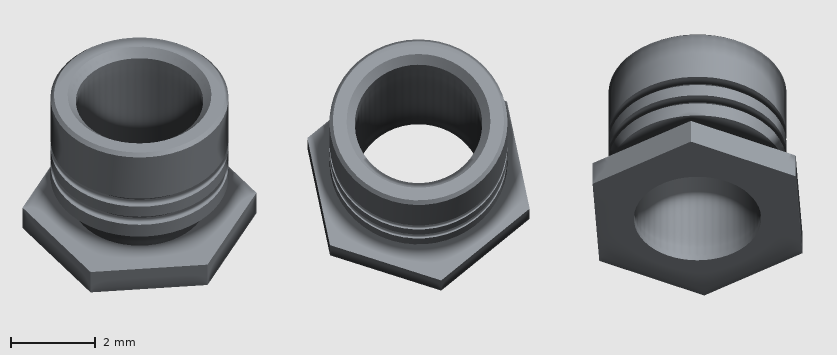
import cadquery as cq

hex_across_corners = 5.54
flange_height = 0.65

total_height = 4.0
neck_top = 1.395
lower_groove_bottom = 1.775
lower_groove_top = 2.03
upper_groove_bottom = 2.35
upper_groove_top = 2.605

neck_diameter = 3.185
groove_diameter = 3.69
body_diameter = 4.2
bore_diameter = 3.0

rim_chamfer = 0.085
bore_mouth_diameter = 3.39
bore_chamfer = (bore_mouth_diameter - bore_diameter) / 2


def cylinder(diameter, bottom, top):
    """Upright cylinder on the Z axis between two levels."""
    return cq.Workplane("XY").workplane(offset=bottom).circle(diameter / 2).extrude(top - bottom)


flange = cq.Workplane("XY").polygon(6, hex_across_corners).extrude(flange_height)
neck = cylinder(neck_diameter, flange_height, neck_top)
body = cylinder(body_diameter, neck_top, total_height).faces(">Z").edges().chamfer(rim_chamfer)
result = flange.union(neck).union(body)

grooves = [
    (lower_groove_bottom, lower_groove_top),
    (upper_groove_bottom, upper_groove_top),
]
for bottom, top in grooves:
    ring = cylinder(body_diameter, bottom, top).cut(cylinder(groove_diameter, bottom, top))
    result = result.cut(ring)

result = result.cut(cylinder(bore_diameter, 0, total_height))
bore_mouth_edge = cq.selectors.RadiusNthSelector(0)
result = result.faces(">Z").edges(bore_mouth_edge).chamfer(bore_chamfer)